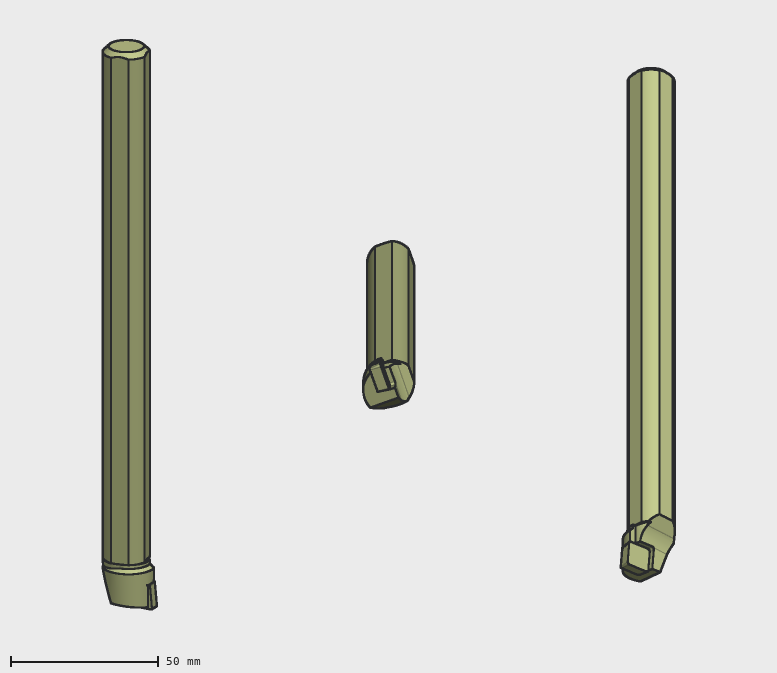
import cadquery as cq
import math

TOTAL_LENGTH = 201.2

SHANK_RADIUS = 8.0
FLAT_DISTANCE = 7.5
SHANK_BOTTOM = 17.0
TOP_CHAMFER = 2.0

HEAD_AXIS_X = 0.8
HEAD_RADIUS = 9.0
COLLAR_RADIUS = 7.6
NECK_AXIS_X = COLLAR_RADIUS - SHANK_RADIUS
FLARE_TOP = 15.5
FLARE_BOTTOM = FLARE_TOP - (HEAD_RADIUS - COLLAR_RADIUS)

RELIEF_FOOT_X = -2.5
RELIEF_FOOT_Z = 1.6

GULLET_TOP_Z = 20.0
GULLET_SLOPE_Y = 4.5
GULLET_SLOPE_Z = 15.7
GULLET_FLOOR_Y = 2.0
GULLET_FLOOR_Z = 10.0
GULLET_ARC_Y = 2.8
GULLET_ARC_Z = 12.9

NOSE_X = 10.9
NOSE_RADIUS = 0.8
INSERT_HEIGHT = 9.5
INSERT_THICKNESS = 4.0
NOSE_ANGLE = 80.0
LEAD_ANGLE = 5.0
CLEARANCE_ANGLE = 7.0
HEAD_SETBACK = 0.6

CUT_SIZE = 60.4


def shank():
    """Round bar with a chamfered top end and flats at -Y, +Y and +X."""
    bar = cq.Workplane("XY").circle(SHANK_RADIUS).extrude(TOTAL_LENGTH).faces(">Z").chamfer(TOP_CHAMFER)
    width = SHANK_RADIUS + FLAT_DISTANCE
    length = TOTAL_LENGTH - SHANK_BOTTOM
    flats = cq.Workplane("XY").box(
        width, 2 * FLAT_DISTANCE, length, centered=(False, True, False)
    ).translate((-SHANK_RADIUS, 0, SHANK_BOTTOM))
    return bar.intersect(flats)


def neck():
    """Round core that carries the head below the shank."""
    return cq.Workplane("XY").center(NECK_AXIS_X, 0).circle(COLLAR_RADIUS).extrude(SHANK_BOTTOM)


def flared_head():
    """Eccentric collar, cone and cylinder, kept only on the -Y side of the rake plane."""
    outline = [
        (0, 0),
        (HEAD_RADIUS, 0),
        (HEAD_RADIUS, FLARE_BOTTOM),
        (COLLAR_RADIUS, FLARE_TOP),
        (COLLAR_RADIUS, SHANK_BOTTOM),
        (0, SHANK_BOTTOM),
    ]
    turned = cq.Workplane("XZ").polyline(outline).close().revolve(360, (0, 0), (0, 1))
    lower_half = cq.Workplane("XY").box(CUT_SIZE, CUT_SIZE, CUT_SIZE).translate((0, -CUT_SIZE / 2, 0))
    return turned.translate((HEAD_AXIS_X, 0, 0)).intersect(lower_half)


def back_relief():
    """Wedge behind the sloping back plane, which starts at the foot of the shank."""
    slope = (RELIEF_FOOT_X + SHANK_RADIUS) / (SHANK_BOTTOM - RELIEF_FOOT_Z)
    bottom_x = RELIEF_FOOT_X + slope * RELIEF_FOOT_Z
    outline = [(-SHANK_RADIUS, SHANK_BOTTOM), (bottom_x, 0), (-CUT_SIZE, 0), (-CUT_SIZE, SHANK_BOTTOM)]
    return cq.Workplane("XZ").polyline(outline).close().extrude(CUT_SIZE / 2, both=True)


def chip_gullet():
    """Sloping run-out that curves into a floor parallel to the rake face."""
    return (
        cq.Workplane("YZ")
        .moveTo(FLAT_DISTANCE, GULLET_TOP_Z)
        .lineTo(GULLET_SLOPE_Y, GULLET_SLOPE_Z)
        .threePointArc((GULLET_ARC_Y, GULLET_ARC_Z), (GULLET_FLOOR_Y, GULLET_FLOOR_Z))
        .lineTo(GULLET_FLOOR_Y, 0)
        .lineTo(CUT_SIZE, 0)
        .lineTo(CUT_SIZE, GULLET_TOP_Z)
        .close()
        .extrude(CUT_SIZE / 2, both=True)
    )


def end_relief():
    """Block below the end face, which has the lead and clearance angles of the insert."""
    block = cq.Workplane("XY").box(CUT_SIZE, CUT_SIZE, CUT_SIZE).translate((0, 0, -CUT_SIZE / 2))
    return (
        block.rotate((0, 0, 0), (1, 0, 0), -CLEARANCE_ANGLE)
        .rotate((0, 0, 0), (0, 1, 0), LEAD_ANGLE)
        .translate((NOSE_X, 0, HEAD_SETBACK))
    )


def insert_outline():
    """Rounded rhombus: a rhombus through the four corner centres, offset by the nose radius."""
    edge = (INSERT_HEIGHT - 2 * NOSE_RADIUS) / math.sin(math.radians(NOSE_ANGLE))
    end_angle = math.radians(180 - LEAD_ANGLE)
    side_angle = end_angle - math.radians(NOSE_ANGLE)
    end_x, end_z = edge * math.cos(end_angle), edge * math.sin(end_angle)
    side_x, side_z = edge * math.cos(side_angle), edge * math.sin(side_angle)
    corners = [(0, 0), (side_x, side_z), (side_x + end_x, side_z + end_z), (end_x, end_z)]
    return (
        cq.Workplane("XZ", origin=(NOSE_X - NOSE_RADIUS, 0, NOSE_RADIUS))
        .polyline(corners)
        .close()
        .offset2D(NOSE_RADIUS, "arc")
    )


def make_insert():
    return insert_outline().extrude(INSERT_THICKNESS, taper=CLEARANCE_ANGLE)


def make_holder(insert):
    """Shank and head in one piece, with a seat for the insert that is open towards +Y."""
    seat_opening = insert_outline().extrude(-CUT_SIZE)
    return (
        shank()
        .union(neck())
        .union(flared_head())
        .cut(back_relief())
        .cut(chip_gullet())
        .cut(end_relief())
        .cut(insert)
        .cut(seat_opening)
    )


cutting_insert = make_insert()
holder = make_holder(cutting_insert)
result = cq.Compound.makeCompound([holder.val(), cutting_insert.val()])